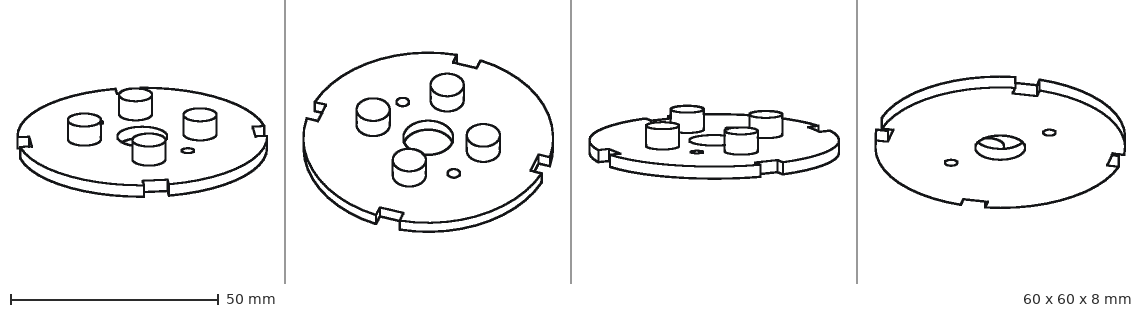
import cadquery as cq

plate_diameter = 60
plate_thickness = 3
bore_diameter = 12

pitch_radius = 14.0
pin_diameter = 8.0
pin_height = 5.0
small_hole_diameter = 3

notch_width = 6
notch_depth = 3

first_diagonal_angle = 45
diagonal_count = 4


def make_plate():
    """Round plate with a central bore and two small holes on the X axis."""
    return (
        cq.Workplane("XY")
        .circle(plate_diameter / 2)
        .circle(bore_diameter / 2)
        .extrude(plate_thickness)
        .faces(">Z")
        .workplane()
        .pushPoints([(-pitch_radius, 0), (pitch_radius, 0)])
        .hole(small_hole_diameter)
    )


def make_notches():
    """Four diagonal cutters centred on the rim, reaching inward by the notch depth."""
    return (
        cq.Workplane("XY")
        .polarArray(plate_diameter / 2, first_diagonal_angle, 360, diagonal_count)
        .rect(2 * notch_depth, notch_width)
        .extrude(plate_thickness)
    )


def make_pins():
    """Four pins standing on the plate, on its diagonals."""
    return (
        cq.Workplane("XY")
        .workplane(offset=plate_thickness)
        .polarArray(pitch_radius, first_diagonal_angle, 360, diagonal_count)
        .circle(pin_diameter / 2)
        .extrude(pin_height)
    )


result = make_plate().cut(make_notches()).union(make_pins())